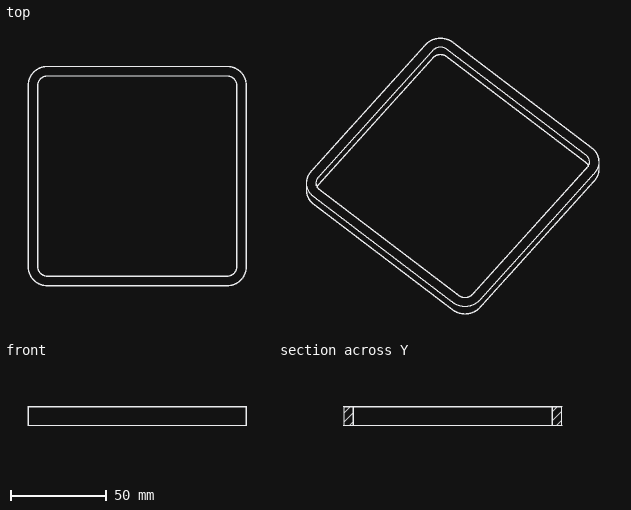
import cadquery as cq

length_x = 114.23
length_y = 114.81
height = 10.0
wall = 5.1
inner_radius = 5.0
outer_radius = inner_radius + wall


def rounded_block(size_x, size_y, corner_radius):
    """Block of the frame height with rounded vertical edges."""
    return (
        cq.Workplane("XY")
        .rect(size_x, size_y)
        .extrude(height)
        .edges("|Z")
        .fillet(corner_radius)
    )


outer_block = rounded_block(length_x, length_y, outer_radius)
opening = rounded_block(length_x - 2 * wall, length_y - 2 * wall, inner_radius)

result = outer_block.cut(opening)